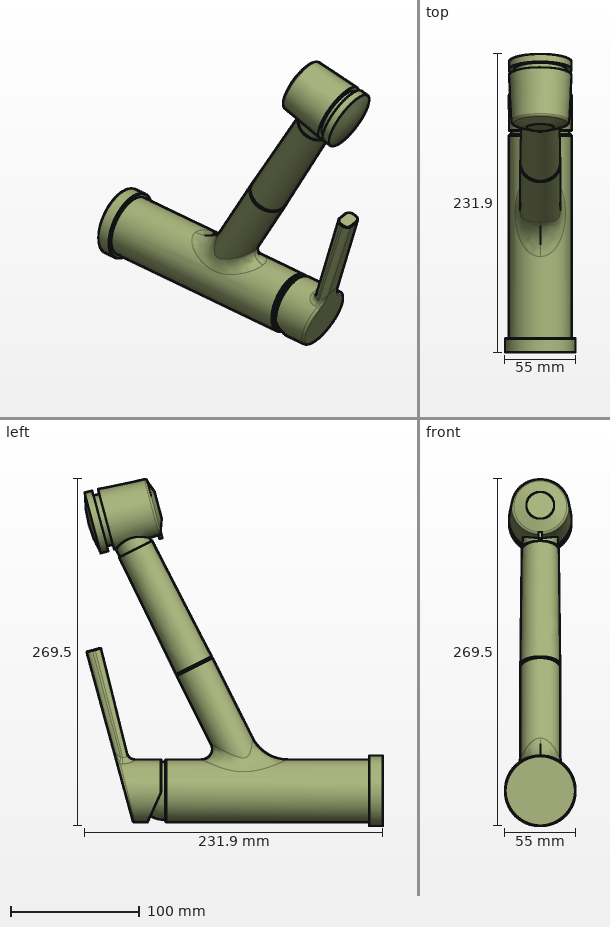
import cadquery as cq
import math

FLANGE_RADIUS = 27.5
FLANGE_LENGTH = 11.2
FLANGE_CHAMFER = 0.6
BARREL_RADIUS = 24.5
BARREL_END = 169.5
BARREL_END_CHAMFER = 1.2
BALL_RADIUS = 22.7

SPOUT_LEAN = 26.6
SPOUT_FOOT_Y = 98.2
SPOUT_RADIUS = 15.65
SPOUT_LENGTH = 108.0
SPOUT_END_CHAMFER = 0.5
CROTCH_RADIUS = 8.0
THROAT_RADIUS = 30.0

JOINT_GAP = 1.0
JOINT_RADIUS = 14.6
GRIP_BOTTOM_RADIUS = 15.6
GRIP_TOP_RADIUS = 14.5
GRIP_TOP = 209.9
COLLAR_RADIUS = 13.8
COLLAR_TOP = 225.0

HEAD_TILT = 15.0
HEAD_FRONT_Y = 174.6
HEAD_FRONT_Z = 221.65
HEAD_FLAT_RADIUS = 10.8
HEAD_FACE_RADIUS = 20.5
HEAD_FACE_DEPTH = 3.4
HEAD_FRONT_RADIUS = 22.4
HEAD_BACK_RADIUS = 24.4
HEAD_BACK = 42.0
HEAD_GROOVE_RADIUS = 20.5
DISC_FRONT = 46.6
DISC_BACK = 52.8
DISC_RADIUS = 24.4
DISC_DOME_RADIUS = 23.4
DISC_DOME_HEIGHT = 3.2
TAB_WIDTH = 2.8
TAB_LENGTH = 2.5
TAB_REACH = 25.5

CAP_FRONT_Y = 171.9
CAP_LENGTH = 40.0
CAP_CUT_Y = 183.0
CAP_FRONT_CHAMFER = 0.8
CAP_EDGE_ROUND = 2.0
LEVER_LEAN = 15.3
LEVER_TOP_Y = 230.4
LEVER_TOP_Z = 108.0
LEVER_LENGTH = 100.0
LEVER_TOP_SIZE = (16.6, 11.7)
LEVER_ROOT_SIZE = (20.0, 9.3)
LEVER_TOP_CORNER = 4.8
LEVER_ROOT_CORNER = 4.0
LEVER_END_CHAMFER = 0.5
LEVER_ROOT_FILLET = 6.0


def lever_back_y(z):
    """Y of the lever's slanted back plane at height z."""
    return LEVER_TOP_Y - (LEVER_TOP_Z - z) * math.tan(math.radians(LEVER_LEAN))


def lean_and_place(solid, angle, y, z):
    """Tip a solid built around the origin from its own axis and move it into place."""
    return solid.rotate((0, 0, 0), (1, 0, 0), -angle).translate((0, y, z))


def make_flange():
    disc = cq.Workplane("XZ").circle(FLANGE_RADIUS).extrude(-FLANGE_LENGTH)
    return disc.edges().chamfer(FLANGE_CHAMFER)


def make_ball():
    """Cartridge ball at the end of the barrel."""
    return cq.Workplane("XY").sphere(BALL_RADIUS).translate((0, BARREL_END, 0))


def make_spout():
    tube = cq.Workplane("XY").circle(SPOUT_RADIUS).extrude(SPOUT_LENGTH)
    tube = tube.faces(">Z").chamfer(SPOUT_END_CHAMFER)
    return lean_and_place(tube, SPOUT_LEAN, SPOUT_FOOT_Y, 0)


def make_barrel_with_spout():
    """One half is blended with a growing radius, then mirrored across X = 0."""
    barrel = cq.Workplane("XZ").circle(BARREL_RADIUS).extrude(-BARREL_END)
    barrel = barrel.faces(">Y").chamfer(BARREL_END_CHAMFER)
    size = 4 * SPOUT_LENGTH
    positive_x = cq.Workplane("XY").box(size, size, size, centered=(False, True, True))
    half = barrel.union(make_spout()).intersect(positive_x)

    seam_z = math.sqrt(BARREL_RADIUS**2 - SPOUT_RADIUS**2)
    seam_y = SPOUT_FOOT_Y + seam_z * math.tan(math.radians(SPOUT_LEAN))
    seam = half.edges(cq.selectors.NearestToPointSelector((SPOUT_RADIUS, seam_y, seam_z))).val()

    start_radius, end_radius = THROAT_RADIUS, CROTCH_RADIUS
    if seam.startPoint().y > seam.endPoint().y:
        start_radius, end_radius = end_radius, start_radius
    blend = cq.occ_impl.shapes.BRepFilletAPI_MakeFillet(half.val().Solids()[0].wrapped)
    blend.Add(start_radius, end_radius, seam.wrapped)
    blended = cq.Workplane(obj=cq.Shape.cast(blend.Shape()).Solids()[0])
    return blended.union(blended.mirror("YZ"))


def make_body():
    return make_barrel_with_spout().union(make_flange()).union(make_ball())


def make_grip():
    """Grip turned about +Z: joint groove, tapering grip and collar."""
    joint_top = SPOUT_LENGTH + JOINT_GAP
    grip = (
        cq.Workplane("XZ")
        .moveTo(0, SPOUT_LENGTH)
        .lineTo(JOINT_RADIUS, SPOUT_LENGTH)
        .lineTo(JOINT_RADIUS, joint_top)
        .lineTo(GRIP_BOTTOM_RADIUS, joint_top)
        .lineTo(GRIP_TOP_RADIUS, GRIP_TOP)
        .lineTo(COLLAR_RADIUS, GRIP_TOP)
        .lineTo(COLLAR_RADIUS, COLLAR_TOP)
        .lineTo(0, COLLAR_TOP)
        .close()
        .revolve(360, (0, 0), (0, 1))
    )
    return lean_and_place(grip, SPOUT_LEAN, SPOUT_FOOT_Y, 0)


def make_head():
    """Head turned about +Y from its front flat, with a small tab under the front rim."""
    rim = HEAD_FRONT_RADIUS - HEAD_FACE_RADIUS
    diag = rim * math.sqrt(0.5)
    sphere = (DISC_DOME_RADIUS**2 + DISC_DOME_HEIGHT**2) / (2 * DISC_DOME_HEIGHT)
    dome_x = DISC_DOME_RADIUS / 2
    dome_y = DISC_BACK + DISC_DOME_HEIGHT - sphere + math.sqrt(sphere**2 - dome_x**2)
    head = (
        cq.Workplane("XY")
        .lineTo(HEAD_FLAT_RADIUS, 0)
        .lineTo(HEAD_FACE_RADIUS, HEAD_FACE_DEPTH)
        .threePointArc(
            (HEAD_FACE_RADIUS + diag, HEAD_FACE_DEPTH + rim - diag),
            (HEAD_FRONT_RADIUS, HEAD_FACE_DEPTH + rim),
        )
        .lineTo(HEAD_BACK_RADIUS, HEAD_BACK)
        .lineTo(HEAD_GROOVE_RADIUS, HEAD_BACK)
        .lineTo(HEAD_GROOVE_RADIUS, DISC_FRONT)
        .lineTo(DISC_RADIUS, DISC_FRONT)
        .lineTo(DISC_RADIUS, DISC_BACK)
        .lineTo(DISC_DOME_RADIUS, DISC_BACK)
        .threePointArc((dome_x, dome_y), (0, DISC_BACK + DISC_DOME_HEIGHT))
        .close()
        .revolve(360, (0, 0), (0, 1))
    )
    tab = cq.Workplane("XY").box(TAB_WIDTH, TAB_LENGTH, TAB_REACH, centered=(True, False, False))
    tab = tab.translate((0, HEAD_FACE_DEPTH, -TAB_REACH))
    return lean_and_place(head.union(tab), HEAD_TILT, HEAD_FRONT_Y, HEAD_FRONT_Z)


def make_spray():
    return make_grip().union(make_head())


def lever_section(size, corner, distance):
    """Rounded rectangle with its back side on the lever's back plane."""
    width, thickness = size
    section = cq.Sketch().rect(width, thickness).vertices().fillet(corner)
    return section.moved(cq.Location(cq.Vector(0, thickness / 2, distance)))


def make_lever_handle():
    """Tapering bar that runs down the back plane into the cap."""
    lean = math.radians(LEVER_LEAN)
    down_the_lever = cq.Plane(
        origin=(0, LEVER_TOP_Y, LEVER_TOP_Z),
        xDir=(1, 0, 0),
        normal=(0, -math.sin(lean), -math.cos(lean)),
    )
    return (
        cq.Workplane(down_the_lever)
        .placeSketch(
            lever_section(LEVER_TOP_SIZE, LEVER_TOP_CORNER, 0),
            lever_section(LEVER_ROOT_SIZE, LEVER_ROOT_CORNER, LEVER_LENGTH),
        )
        .loft(ruled=True)
        .faces(">Z")
        .chamfer(LEVER_END_CHAMFER)
    )


def make_lever():
    """Cap and handle in one piece, hollowed to fit over the ball."""
    cap = cq.Workplane("XZ", origin=(0, CAP_FRONT_Y, 0)).circle(BARREL_RADIUS).extrude(-2 * CAP_LENGTH)
    cap = cap.faces("<Y").chamfer(CAP_FRONT_CHAMFER)
    blank = cap.union(make_lever_handle())
    root_reach = LEVER_ROOT_SIZE[0] / 2
    root_zone = cq.selectors.BoxSelector(
        (-root_reach, lever_back_y(0) - root_reach, BARREL_RADIUS - root_reach / 2),
        (root_reach, lever_back_y(0) + root_reach, BARREL_RADIUS + root_reach / 2),
    )
    blank = blank.edges(root_zone).fillet(LEVER_ROOT_FILLET)

    high = LEVER_TOP_Z + LEVER_TOP_SIZE[1]
    low = -BARREL_RADIUS
    outline = (
        cq.Workplane("YZ")
        .polyline([
            (CAP_FRONT_Y, high),
            (lever_back_y(high), high),
            (lever_back_y(low), low),
            (CAP_CUT_Y, low),
            (CAP_FRONT_Y, 0),
        ])
        .close()
        .extrude(BARREL_RADIUS, both=True)
    )
    lever = blank.intersect(outline)

    edge_middle = (0, lever_back_y(low / 3), low / 3)
    lever = lever.edges(cq.selectors.NearestToPointSelector(edge_middle)).fillet(CAP_EDGE_ROUND)
    return lever.cut(make_ball())


body = make_body()
spray = make_spray()
lever = make_lever()
result = cq.Compound.makeCompound([body.val(), spray.val(), lever.val()])